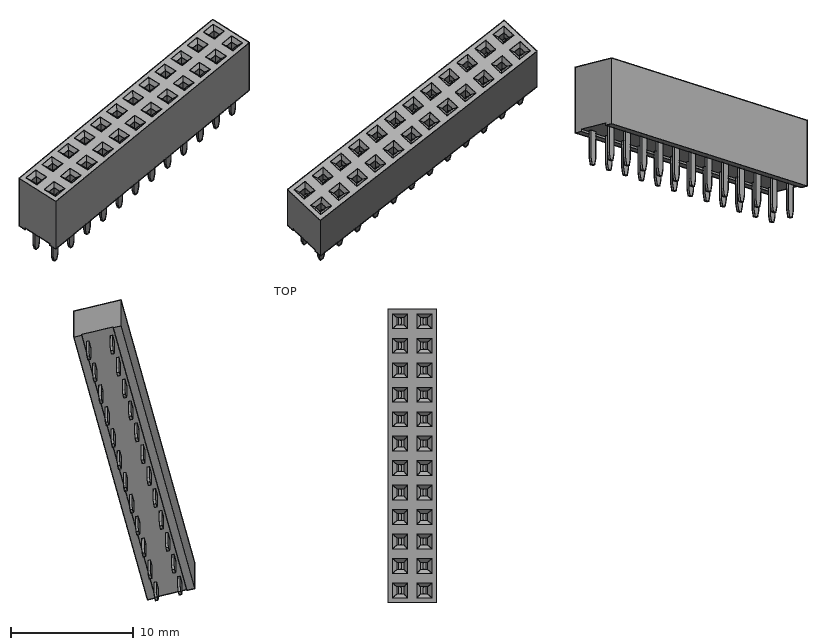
import cadquery as cq

ROWS = 12
COLUMNS = 2
LENGTH = 24.0
PITCH = LENGTH / ROWS
WIDTH = COLUMNS * PITCH
TOTAL_HEIGHT = 8.3
BODY_HEIGHT = 5.62
CHANNEL_DEPTH = 0.2
FOOT_WIDTH = 0.67

FUNNEL_SIZE = 1.2
THROAT_SIZE = 0.6
THROAT_SHIFT = 0.035
FUNNEL_DEPTH = 0.3
THROAT_DEPTH = 3.85

PIN_THICKNESS = 0.22
PIN_WIDTH = 0.6
PIN_TIP_WIDTH = 0.3
PIN_TAPER = 0.6
CONTACT_DEPTH = 0.95
CONTACT_CHAMFER = 0.1

BODY_TOP = TOTAL_HEIGHT
BODY_BOTTOM = BODY_TOP - BODY_HEIGHT
THROAT_FLOOR = BODY_TOP - THROAT_DEPTH


def housing():
    """Block with a shallow channel underneath, leaving a foot along each long side."""
    block = cq.Workplane("XY", origin=(0, 0, BODY_BOTTOM)).box(
        WIDTH, LENGTH, BODY_HEIGHT, centered=(True, True, False))
    channel = cq.Workplane("XY", origin=(0, 0, BODY_BOTTOM)).box(
        WIDTH - 2 * FOOT_WIDTH, LENGTH, CHANNEL_DEPTH, centered=(True, True, False))
    return block.cut(channel)


def socket(x, y):
    """Cavity of one socket: a square funnel over a straight square throat."""
    throat_x = x - THROAT_SHIFT if x > 0 else x + THROAT_SHIFT
    funnel = (
        cq.Workplane("XY", origin=(x, y, BODY_TOP))
        .rect(FUNNEL_SIZE, FUNNEL_SIZE)
        .workplane(offset=-FUNNEL_DEPTH)
        .center(throat_x - x, 0)
        .rect(THROAT_SIZE, THROAT_SIZE)
        .loft(ruled=True)
    )
    throat = cq.Workplane("XY", origin=(throat_x, y, THROAT_FLOOR)).box(
        THROAT_SIZE, THROAT_SIZE, THROAT_DEPTH, centered=(True, True, False))
    return funnel.union(throat)


def pin(x, y):
    """Flat tapered pin, with its contact standing on the throat floor."""
    outline = [
        (-PIN_TIP_WIDTH / 2, 0),
        (PIN_TIP_WIDTH / 2, 0),
        (PIN_WIDTH / 2, PIN_TAPER),
        (PIN_WIDTH / 2, THROAT_FLOOR),
        (-PIN_WIDTH / 2, THROAT_FLOOR),
        (-PIN_WIDTH / 2, PIN_TAPER),
    ]
    tail = (
        cq.Workplane("YZ", origin=(x, y, 0))
        .polyline(outline)
        .close()
        .extrude(PIN_THICKNESS / 2, both=True)
    )
    inner_edges = "|Z and <X" if x > 0 else "|Z and >X"
    contact = (
        cq.Workplane("XY", origin=(x, y, THROAT_FLOOR))
        .box(PIN_THICKNESS, PIN_WIDTH, THROAT_DEPTH - CONTACT_DEPTH, centered=(True, True, False))
        .edges(inner_edges)
        .chamfer(CONTACT_CHAMFER)
    )
    return tail.union(contact)


positions = [
    ((column - (COLUMNS - 1) / 2) * PITCH, (row - (ROWS - 1) / 2) * PITCH)
    for column in range(COLUMNS)
    for row in range(ROWS)
]

sockets = cq.Compound.makeCompound([socket(x, y).val() for x, y in positions])
pins = cq.Compound.makeCompound([pin(x, y).val() for x, y in positions])
result = housing().cut(cq.Workplane(sockets)).union(cq.Workplane(pins))